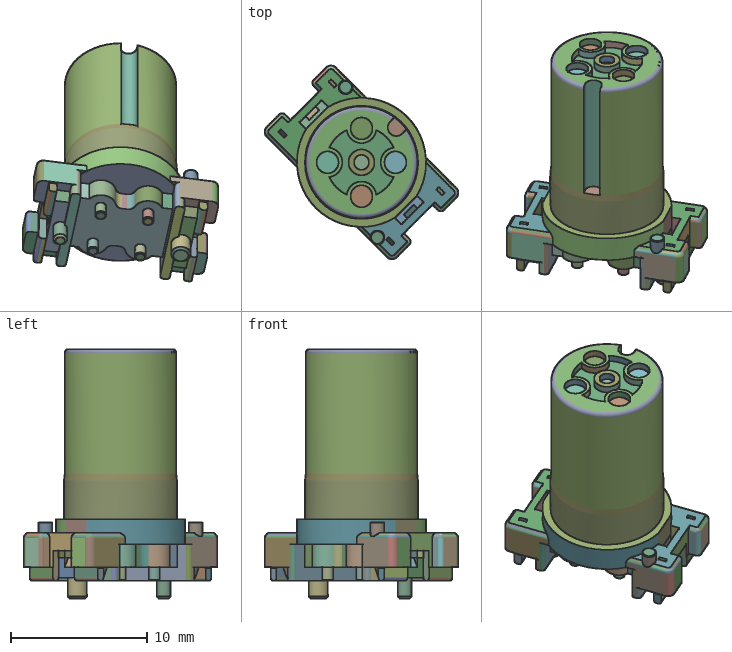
import cadquery as cq
import math

SEAT_Z = 1.3
BASE_BOTTOM = 2.3
FLANGE_BOTTOM = 3.97
BASE_TOP = 4.83
PEG_TOP = 5.6
FLANGE_TOP = 5.84
COLLAR_TOP = 8.65
TUBE_BOTTOM = 9.15
TOP = 18.3

TUBE_RADIUS = 4.1
COLLAR_RADIUS = 4.15
FLANGE_RADIUS = 4.74
FLAT_DISTANCE = 4.61
TOP_EDGE_RADIUS = 0.27
KEY_CENTRE = 3.6
KEY_RADIUS = 0.62
FACE_DEPTH = 0.53
FACE_POCKET_RADIUS = 2.6
RIM_RADIUS = 1.08
HUB_RADIUS = 0.95
HUB_HOLE_RADIUS = 0.55

CONTACT_CIRCLE = 2.49
CONTACT_RADIUS = 0.8
TIP_RADIUS = 0.4
TIP_CHAMFER = 0.07
BOSS_RADIUS = 1.13
BOSS_BLEND_RADIUS = 0.55

HALF_LENGTH = 6.75
HALF_WIDTH = 3.59
CORNER_RADIUS = 0.5
NOTCH_FLOOR = 5.87
NOTCH_HALF_WIDTH = 1.48
NOTCH_CORNER_RADIUS = 0.3
LEG_INNER = 3.5
LEG_OUTER = 4.23
LEG_EDGE_RADIUS = 0.3
BRIDGE_HALF_WIDTH = 2.38
BRIDGE_WAIST = 1.83
BASE_EDGE_RADIUS = 0.27
BASE_CHAMFER = 0.25
FOOT_INNER = 5.29
FOOT_OUTER = 5.9
FOOT_START = 1.12
FOOT_END = 3.53
FOOT_EDGE_RADIUS = 0.25
FOOT_SHOULDER = 0.1
RIB_BOTTOM = 1.52
RIB_HALF_BOTTOM = 2.47
RIB_HALF_TOP = 2.84
WINDOW_HALF_WIDTH = 1.15
WINDOW_FLOOR = 3.0
ARCH_TOP = 3.51
RAMP_START = 4.9
RAMP_HALF_WIDTH = 0.51
SLOT_INNER = 2.47
SLOT_OUTER = 2.73
SLOT_DEPTH = 0.73
PEG_RADIUS = 0.51
PEG_ALONG = 4.72
PEG_CHAMFER = 0.05
POST_ALONG = 4.48
BIG_POST_RADIUS = 0.71
SMALL_POST_RADIUS = 0.51
POST_CHAMFER = 0.16

BASE_TURN = -45.0
SIDES = (-1, 1)


def box(x_min, x_max, y_min, y_max, z_min, z_max):
    """Box between two opposite corners."""
    size = (x_max - x_min, y_max - y_min, z_max - z_min)
    return cq.Workplane("XY").box(*size, centered=False).translate((x_min, y_min, z_min))


def cylinder(x, y, radius, z_min, z_max):
    """Upright cylinder."""
    return cq.Workplane("XY", origin=(x, y, z_min)).circle(radius).extrude(z_max - z_min)


def turn(shape, angle):
    """Turn a shape about the tube axis."""
    return shape.rotate((0, 0, 0), (0, 0, 1), angle)


def contact_places():
    """Contact axes in the base frame, on the diagonals of the base."""
    offset = CONTACT_CIRCLE / math.sqrt(2)
    return [(x * offset, y * offset) for x in SIDES for y in SIDES]


def flange_disc():
    """Flange with a flat at each end of the base."""
    disc = cylinder(0, 0, FLANGE_RADIUS, FLANGE_BOTTOM, FLANGE_TOP)
    between_flats = box(-FLAT_DISTANCE, FLAT_DISTANCE, -FLANGE_RADIUS, FLANGE_RADIUS,
                        FLANGE_BOTTOM, FLANGE_TOP)
    return disc.intersect(between_flats)


def keyway():
    """Round-bottomed groove down one side of the tube."""
    bottom = cylinder(0, KEY_CENTRE, KEY_RADIUS, TUBE_BOTTOM, TOP)
    mouth = box(-KEY_RADIUS, KEY_RADIUS, KEY_CENTRE, FLANGE_RADIUS, TUBE_BOTTOM, TOP)
    return bottom.union(mouth)


def face_pocket():
    """Round recess in the top face that leaves the hub and the contact rims standing."""
    floor = TOP - FACE_DEPTH
    pocket = cylinder(0, 0, FACE_POCKET_RADIUS, floor, TOP)
    pocket = pocket.cut(cylinder(0, 0, HUB_RADIUS, floor, TOP))
    for x, y in contact_places():
        pocket = pocket.cut(cylinder(x, y, RIM_RADIUS, floor, TOP))
    return pocket.union(cylinder(0, 0, HUB_HOLE_RADIUS, floor, TOP))


def make_socket():
    """Tube, collar and flange with the keyway and the contact holes."""
    barrel = (
        cq.Workplane("XZ")
        .moveTo(0, FLANGE_BOTTOM)
        .lineTo(COLLAR_RADIUS, FLANGE_BOTTOM)
        .lineTo(COLLAR_RADIUS, COLLAR_TOP)
        .lineTo(TUBE_RADIUS, TUBE_BOTTOM)
        .lineTo(TUBE_RADIUS, TOP)
        .lineTo(0, TOP)
        .close()
        .revolve(360, (0, 0, 0), (0, 1, 0))
        .faces(">Z").edges().fillet(TOP_EDGE_RADIUS)
    )
    socket = barrel.union(flange_disc()).cut(keyway()).cut(face_pocket())
    for x, y in contact_places():
        socket = socket.cut(cylinder(x, y, CONTACT_RADIUS, FLANGE_BOTTOM, TOP))
    return turn(socket, BASE_TURN)


def make_contact(x, y):
    """Round contact with a thinner soldering tip."""
    tip = cylinder(x, y, TIP_RADIUS, SEAT_Z, FLANGE_BOTTOM).faces("<Z").chamfer(TIP_CHAMFER)
    contact = cylinder(x, y, CONTACT_RADIUS, FLANGE_BOTTOM, TOP - FACE_DEPTH).union(tip)
    return turn(contact, BASE_TURN)


def notch():
    """Cut between the two lobes of the end."""
    return box(NOTCH_FLOOR, HALF_LENGTH, -NOTCH_HALF_WIDTH, NOTCH_HALF_WIDTH, BASE_BOTTOM, BASE_TOP)


def end_block():
    """End of the base: two rounded lobes, open towards the flange."""
    block = box(0, HALF_LENGTH, -HALF_WIDTH, HALF_WIDTH, BASE_BOTTOM, BASE_TOP)
    block = block.edges("|Z and >X").fillet(CORNER_RADIUS).cut(notch())
    block = block.edges("|Z").edges(cq.selectors.BoxSelector(
        (HALF_LENGTH - 0.02, -HALF_WIDTH / 2, BASE_BOTTOM),
        (HALF_LENGTH + 0.02, HALF_WIDTH / 2, BASE_TOP),
    )).fillet(NOTCH_CORNER_RADIUS)
    rim = block.faces(">Z").edges()
    across = [edge for edge in rim.vals() if abs(edge.Center().y) < 0.02]
    chamfered = [edge for edge in rim.vals() if edge not in across]
    block = rim.newObject(chamfered).chamfer(BASE_CHAMFER)
    under_chamfer = cq.selectors.BoxSelector(
        (NOTCH_FLOOR - HALF_LENGTH, -HALF_WIDTH - 0.18, BASE_TOP - BASE_CHAMFER - 0.02),
        (HALF_LENGTH + 0.18, HALF_WIDTH + 0.18, BASE_TOP - BASE_CHAMFER + 0.02),
    )
    block = block.edges(under_chamfer).fillet(BASE_EDGE_RADIUS)
    channel = box(0, LEG_INNER, -HALF_WIDTH, HALF_WIDTH, BASE_BOTTOM, FLANGE_BOTTOM)
    return block.cut(channel).cut(flange_disc())


def leg():
    """Wall across the base that stands on the soldering plane."""
    wall = box(LEG_INNER, LEG_OUTER, -HALF_WIDTH, HALF_WIDTH, SEAT_Z, BASE_BOTTOM)
    return wall.edges("|Z").fillet(LEG_EDGE_RADIUS)


def leg_corners():
    """Slivers trimmed off so that the rounded inner edges of the leg run up to the flange."""
    square = box(LEG_INNER, LEG_OUTER, -HALF_WIDTH, HALF_WIDTH, BASE_BOTTOM, FLANGE_BOTTOM)
    rounded = square.edges("|Z and <X").fillet(LEG_EDGE_RADIUS)
    return square.cut(rounded)


def rib():
    """Low trapezoid between the leg and the feet."""
    return (
        cq.Workplane("YZ", origin=(LEG_OUTER, 0, 0))
        .polyline([
            (-RIB_HALF_BOTTOM, RIB_BOTTOM),
            (RIB_HALF_BOTTOM, RIB_BOTTOM),
            (RIB_HALF_TOP, BASE_BOTTOM),
            (-RIB_HALF_TOP, BASE_BOTTOM),
        ])
        .close()
        .extrude(FOOT_INNER - LEG_OUTER)
    )


def foot():
    """Soldering foot on the +Y side, rounded underneath."""
    block = box(FOOT_INNER, FOOT_OUTER, FOOT_START, FOOT_END, SEAT_Z, BASE_BOTTOM)
    block = block.faces("<Z").edges("|Y").fillet(FOOT_EDGE_RADIUS)
    return block.edges(">Z and >Y").chamfer(FOOT_SHOULDER)


def window():
    """Window beside the flange flat, with an arch to the notch and a ramp in its floor."""
    shaft = box(FLAT_DISTANCE, FOOT_INNER, -WINDOW_HALF_WIDTH, WINDOW_HALF_WIDTH, WINDOW_FLOOR, BASE_TOP)
    arch = box(FOOT_INNER, NOTCH_FLOOR, -FOOT_START, FOOT_START, BASE_BOTTOM, ARCH_TOP)
    ramp = (
        cq.Workplane("XZ", origin=(0, RAMP_HALF_WIDTH, 0))
        .polyline([(RAMP_START, WINDOW_FLOOR), (FOOT_INNER, WINDOW_FLOOR), (FOOT_INNER, BASE_BOTTOM)])
        .close()
        .extrude(2 * RAMP_HALF_WIDTH)
    )
    return shaft.union(arch).union(ramp)


def slot():
    """Small slot on the +Y side whose floor slopes down outwards."""
    return (
        cq.Workplane("YZ", origin=(FOOT_INNER, 0, 0))
        .polyline([(SLOT_INNER, BASE_TOP), (SLOT_OUTER, BASE_TOP), (SLOT_OUTER, BASE_TOP - SLOT_DEPTH)])
        .close()
        .extrude(FOOT_OUTER - FOOT_INNER)
    )


def peg():
    """Short peg on top of the end, flush with its -Y side."""
    pin = cylinder(PEG_ALONG, PEG_RADIUS - HALF_WIDTH, PEG_RADIUS, BASE_TOP - BASE_CHAMFER, PEG_TOP)
    return pin.faces(">Z").chamfer(PEG_CHAMFER)


def base_end():
    """One complete end of the base."""
    end = end_block().cut(leg_corners()).cut(window()).union(leg()).union(rib())
    for mirrored in (False, True):
        one_foot = foot()
        one_slot = slot()
        if mirrored:
            one_foot = one_foot.mirror("XZ")
            one_slot = one_slot.mirror("XZ")
        end = end.union(one_foot).cut(one_slot)
    return end.union(peg())


def bridge():
    """Block under the flange that joins the ends, with a boss round each contact tip."""
    block = box(-LEG_OUTER, LEG_OUTER, -BRIDGE_HALF_WIDTH, BRIDGE_HALF_WIDTH, BASE_BOTTOM, FLANGE_BOTTOM)
    gap_end = contact_places()[-1][0]
    for side in SIDES:
        outer_wall = side * BRIDGE_HALF_WIDTH
        waist_wall = side * BRIDGE_WAIST
        y_min, y_max = sorted((outer_wall, waist_wall))
        block = block.cut(box(-gap_end, gap_end, y_min, y_max, BASE_BOTTOM, FLANGE_BOTTOM))
    for x, y in contact_places():
        block = block.union(cylinder(x, y, BOSS_RADIUS, BASE_BOTTOM, FLANGE_BOTTOM))
    for side in SIDES:
        waist_wall = side * BRIDGE_WAIST
        meeting_lines = cq.selectors.BoxSelector(
            (-gap_end, waist_wall - 0.02, BASE_BOTTOM),
            (gap_end, waist_wall + 0.02, FLANGE_BOTTOM),
        )
        block = block.edges("|Z").edges(meeting_lines).fillet(BOSS_BLEND_RADIUS)
    return block


def locating_post(x, radius):
    """Post below the base, chamfered at its tip."""
    return cylinder(x, 0, radius, 0, BASE_BOTTOM).faces("<Z").chamfer(POST_CHAMFER)


def make_base():
    """Base with both ends, the bridge, the posts and the holes for the contact tips."""
    base = bridge().union(base_end()).union(turn(base_end(), 180))
    base = base.union(locating_post(-POST_ALONG, BIG_POST_RADIUS))
    base = base.union(locating_post(POST_ALONG, SMALL_POST_RADIUS))
    for x, y in contact_places():
        base = base.cut(cylinder(x, y, TIP_RADIUS, BASE_BOTTOM, FLANGE_BOTTOM))
    return turn(base, BASE_TURN)


socket = make_socket()
base = make_base()
contacts = [make_contact(x, y) for x, y in contact_places()]
result = cq.Compound.makeCompound([socket.val(), base.val(), *[contact.val() for contact in contacts]])